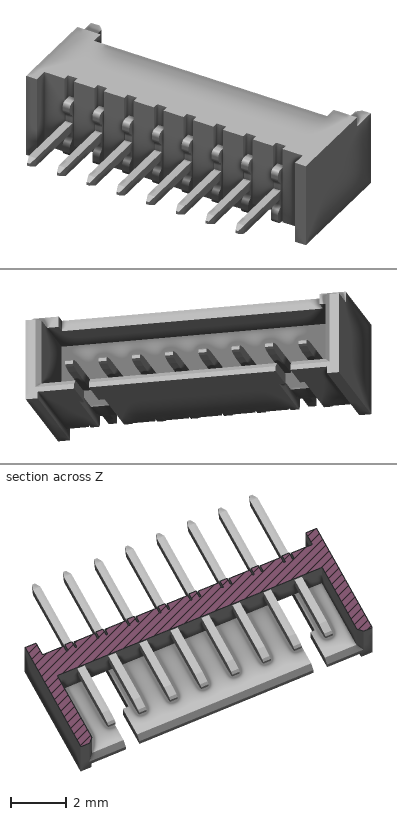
import cadquery as cq
import math


pin_count = 8
pitch = 1.25
contact_width = 0.3
tail_height = 0.36
tail_z = 1.46
tail_length = 2.4
tail_tip_length = 0.27
tail_tip_size = 0.12
lobe_radius = 0.2
lobe_front_y = 0.31
upper_lobe_top = 2.56
upper_lobe_flat = 0.13
lower_lobe_flat = 0.22
web_embedment = 0.2
blade_end_y = 4.2
blade_taper_length = 0.52
blade_nose_length = 0.1
blade_taper_drop = 0.06
blade_nose_drop = 0.12

end_margin = 1.5
length = (pin_count - 1) * pitch + 2 * end_margin
height = 3.45
depth = 4.7
cheek_thickness = 0.45
cheek_drop = 0.25
body_front_y = 0.55

side_wall = 0.55
floor_thickness = 0.38
roof_thickness = 0.4
cavity_bottom_y = 1.6
mouth_chamfer = 0.19
cavity_floor_z = cheek_drop + floor_thickness
cavity_roof_z = height - roof_thickness
cavity_length = length - 2 * side_wall

roof_step_depth = 1.0
roof_recess_depth = 1.48
roof_recess_margin = 0.98
slot_width = 0.4
slot_depth = 0.24
key_width = 0.55
key_start_y = 3.3
key_x = 3.78
relief_width = pitch - contact_width
relief_x = (pin_count / 2 - 1) * pitch

pin_positions = [(i - (pin_count - 1) / 2) * pitch for i in range(pin_count)]
web_front_y = lobe_front_y + lobe_radius
web_back_y = body_front_y + slot_depth + web_embedment


def box(x_mid, x_size, y_start, y_end, z_start, z_end):
    """Box centred on x_mid in X and given by its limits in Y and Z."""
    size = (x_size, y_end - y_start, z_end - z_start)
    return cq.Workplane("XY").box(*size, centered=(True, False, False)).translate((x_mid, y_start, z_start))


def mouth_lead_in():
    """Flare of the cavity mouth on the floor and the two side walls."""
    mouth_height = height - cavity_floor_z
    return (
        cq.Workplane("XZ", origin=(0, depth - mouth_chamfer, 0))
        .center(0, (height + cavity_floor_z) / 2)
        .rect(cavity_length, mouth_height)
        .workplane(offset=-mouth_chamfer)
        .rect(cavity_length + 2 * mouth_chamfer, mouth_height + 2 * mouth_chamfer)
        .loft(ruled=True)
    )


def housing():
    """Open-mouthed box between two end cheeks that stand proud in front and below."""
    body = box(0, length, body_front_y, depth, cheek_drop, height)
    cheek_x = (length - cheek_thickness) / 2
    for side in (-1, 1):
        body = body.union(box(side * cheek_x, cheek_thickness, 0, depth, 0, height))

    body = body.cut(box(0, cavity_length, cavity_bottom_y, depth, cavity_floor_z, cavity_roof_z))
    body = body.cut(mouth_lead_in())
    body = body.cut(box(0, length, depth - roof_step_depth, depth, cavity_roof_z, height))
    recess_length = length - 2 * roof_recess_margin
    body = body.cut(box(0, recess_length, depth - roof_recess_depth, depth, cavity_roof_z, height))

    for x in pin_positions:
        body = body.cut(box(x, slot_width, body_front_y, body_front_y + slot_depth, 0, height))
    return body


def cut_floor_openings(body):
    """Keyway at the mouth and a wider relief in front of it, between the outer contact pairs."""
    for side in (-1, 1):
        body = body.cut(box(side * key_x, key_width, key_start_y, depth, 0, cavity_floor_z))
        body = body.cut(box(side * relief_x, relief_width, body_front_y, key_start_y, 0, cavity_floor_z))
    return body


def web():
    """Flat contact web whose front edge carries an upper and a lower rounded lobe.

    Each lobe blends into the straight edge through a convex and a concave arc of equal
    radius that share the setback between them.
    """
    r = lobe_radius
    front = lobe_front_y
    edge = web_front_y
    bend = math.acos(1 - (edge - front) / (2 * r))
    blend_mid_y = (front + edge) / 2
    half_blend = r * math.sin(bend)
    sag_y = r * (1 - math.cos(bend / 2))
    sag_z = r * math.sin(bend / 2)
    corner = r * (1 - math.sqrt(0.5))

    bottom = cheek_drop
    top = upper_lobe_top
    lower_flat_end = bottom + r + lower_lobe_flat
    lower_blend_end = lower_flat_end + 2 * half_blend
    upper_flat_end = top - r - upper_lobe_flat
    upper_blend_end = upper_flat_end - 2 * half_blend

    return (
        cq.Workplane("YZ")
        .moveTo(web_back_y, bottom)
        .lineTo(front + r, bottom)
        .threePointArc((front + corner, bottom + corner), (front, bottom + r))
        .lineTo(front, lower_flat_end)
        .threePointArc((front + sag_y, lower_flat_end + sag_z), (blend_mid_y, lower_flat_end + half_blend))
        .threePointArc((edge - sag_y, lower_blend_end - sag_z), (edge, lower_blend_end))
        .lineTo(edge, upper_blend_end)
        .threePointArc((edge - sag_y, upper_blend_end + sag_z), (blend_mid_y, upper_blend_end + half_blend))
        .threePointArc((front + sag_y, upper_flat_end - sag_z), (front, upper_flat_end))
        .lineTo(front, top - r)
        .threePointArc((front + corner, top - corner), (front + r, top))
        .lineTo(web_back_y, top)
        .close()
        .extrude(contact_width / 2, both=True)
    )


def blade_and_tail():
    """Straight pin: tapered blade in the cavity, pointed solder tail in front of the housing."""
    half = tail_height / 2
    taper_y = blade_end_y - blade_taper_length
    nose_y = blade_end_y - blade_nose_length
    tail_shoulder_y = tail_tip_length - tail_length
    upper_edge = [
        (tail_shoulder_y, half),
        (taper_y, half),
        (nose_y, half - blade_taper_drop),
        (blade_end_y, half - blade_nose_drop),
    ]
    lower_edge = [(y, -z) for y, z in reversed(upper_edge)]
    bar = (
        cq.Workplane("YZ", origin=(0, 0, tail_z))
        .polyline(upper_edge + lower_edge)
        .close()
        .extrude(contact_width / 2, both=True)
    )
    point = (
        cq.Workplane("XZ", origin=(0, tail_shoulder_y, tail_z))
        .rect(contact_width, tail_height)
        .workplane(offset=tail_tip_length)
        .rect(tail_tip_size, tail_tip_size)
        .loft(ruled=True)
    )
    return bar.union(point)


contact = web().union(blade_and_tail())
result = cut_floor_openings(housing())
for pin_x in pin_positions:
    result = result.union(contact.translate((pin_x, 0, 0)))